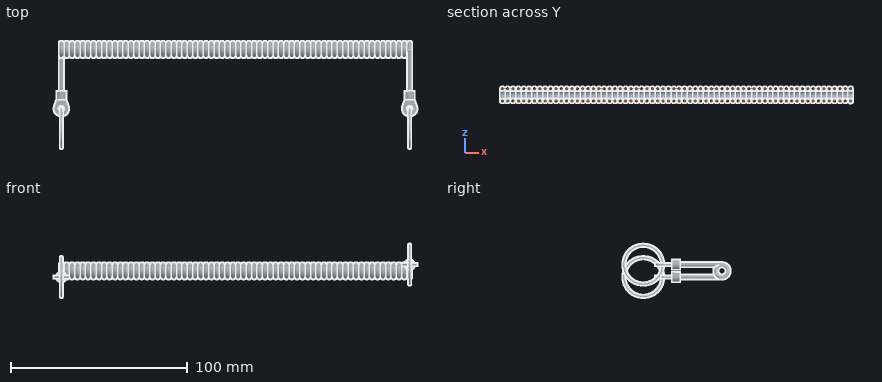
import cadquery as cq
import math

overall_length = 205.98
overall_depth = 61.5
wire_diameter = 3.04
coil_radius = 3.5
coil_turns = 66

ferrule_diameter = 6.0
ferrule_length = 5.0
ferrule_start = 23.5
eye_diameter = 9.0
eye_hole_diameter = 3.0
eye_thickness = 2.0

ring_outer_diameter = 24.0
ring_wire_diameter = 2.0

tail_spacing = overall_length - eye_diameter
tail_x = tail_spacing / 2
pitch = tail_spacing / (coil_turns - 1)
ferrule_end = ferrule_start + ferrule_length
ring_radius = (ring_outer_diameter - ring_wire_diameter) / 2
ring_distance = overall_depth - (coil_radius + wire_diameter / 2) - ring_outer_diameter / 2
eye_distance = ring_distance - ring_radius

tail_places = [(-tail_x, -coil_radius), (tail_x, coil_radius)]


def cylinder_along_minus_y(x, z, diameter, start, length):
    """Round bar running toward -Y from a given distance off the coil axis."""
    return cq.Workplane("XZ", origin=(x, -start, z)).circle(diameter / 2).extrude(length)


def make_coil():
    """Close-wound coil: a row of round turns along X, each just running into the next."""
    wire_radius = wire_diameter / 2
    valley_depth = math.sqrt(wire_radius**2 - (pitch / 2) ** 2)
    turn_places = [turn * pitch - tail_x for turn in range(coil_turns)]
    left_tip = (-tail_x - wire_radius, coil_radius)
    right_tip = (tail_x + wire_radius, coil_radius)

    profile = cq.Workplane("XY").moveTo(*left_tip)
    for x in turn_places[:-1]:
        crest = (x, coil_radius + wire_radius)
        profile = profile.threePointArc(crest, (x + pitch / 2, coil_radius + valley_depth))
    profile = profile.threePointArc((tail_x, coil_radius + wire_radius), right_tip)
    for x in reversed(turn_places[1:]):
        bore_crest = (x, coil_radius - wire_radius)
        profile = profile.threePointArc(bore_crest, (x - pitch / 2, coil_radius - valley_depth))
    profile = profile.threePointArc((-tail_x, coil_radius - wire_radius), left_tip)
    return profile.close().revolve(360, (0, 0, 0), (1, 0, 0))


def make_eye(x, z):
    """Flat eye with a neck whose sides run tangent from the ferrule edge to the round end."""
    eye_radius = eye_diameter / 2
    neck_half_width = ferrule_diameter / 2
    neck_length = eye_distance - ferrule_end
    corner_distance = math.hypot(neck_half_width, neck_length)
    corner_angle = math.atan2(neck_length, neck_half_width)
    tangent_angle = corner_angle - math.acos(eye_radius / corner_distance)
    tangent_x = eye_radius * math.cos(tangent_angle)
    tangent_y = eye_radius * math.sin(tangent_angle)
    plate = (
        cq.Workplane("XY", origin=(x, -eye_distance, z))
        .moveTo(-neck_half_width, neck_length)
        .lineTo(-tangent_x, tangent_y)
        .threePointArc((0, -eye_radius), (tangent_x, tangent_y))
        .lineTo(neck_half_width, neck_length)
        .close()
        .extrude(eye_thickness / 2, both=True)
    )
    hole = (
        cq.Workplane("XY", origin=(x, -eye_distance, z))
        .circle(eye_hole_diameter / 2)
        .extrude(eye_thickness, both=True)
    )
    return plate.cut(hole)


def make_end(x, z):
    """Straight tail, ferrule and eye at one end of the coil."""
    tail = cylinder_along_minus_y(x, z, wire_diameter, 0, ferrule_start)
    ferrule = cylinder_along_minus_y(x, z, ferrule_diameter, ferrule_start, ferrule_length)
    return tail.union(ferrule).union(make_eye(x, z))


def make_ring(x, z):
    """Round ring standing in the YZ plane, its wire centred in the eye hole."""
    return cq.Workplane(
        cq.Solid.makeTorus(
            ring_radius,
            ring_wire_diameter / 2,
            cq.Vector(x, -ring_distance, z),
            cq.Vector(1, 0, 0),
        )
    )


lanyard = make_coil()
for place in tail_places:
    lanyard = lanyard.union(make_end(*place))

rings = [make_ring(*place) for place in tail_places]

result = cq.Compound.makeCompound([lanyard.val(), *[ring.val() for ring in rings]])